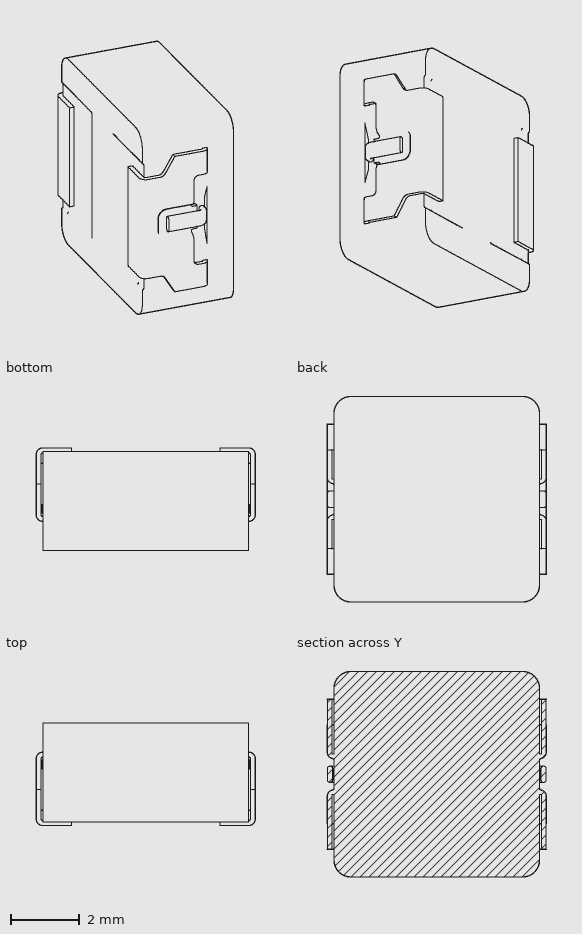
import cadquery as cq
import math


overall_x = 6.4
body_width = 6.0
body_depth = 2.9
body_corner_radius = 0.5
body_half = body_width / 2

strip_thickness = 0.15
inner_bend_radius = 0.05
outer_bend_radius = inner_bend_radius + strip_thickness
foot_protrusion = 0.1
foot_length = 1.04
foot_half_width = 1.6
outer_face = overall_x / 2
inner_face = outer_face - strip_thickness
hook_depth = 0.51

plate_top = 2.05
plate_half_width = 2.19
shoulder_y = 0.95
slant_end_y = 0.59
slant_radius = 0.2
notch_y = 1.555
notch_half_width = 1.44
notch_radius = 0.15
tongue_top = 1.74
tongue_half_width = 0.365
tongue_radius = 0.05

dimple_floor = body_half
dimple_half_width = 0.45
dimple_bottom = 0.49
dimple_corner_radius = 0.24
dimple_draft = 12.0

wire_width = 0.485
wire_thickness = 0.165
wire_end_y = 0.755

window_half_width = 0.895
window_floor_half_width = 0.48
window_depth = 0.19
window_edge_radius = 0.115

pocket_inner_x = 0.75
pocket_end_taper = 0.255
pocket_side_taper = 0.08
pocket_half_width = 2.04
pocket_depth = 0.15
pocket_edge_depth = strip_thickness - foot_protrusion
pocket_level_length = 0.4
pocket_rim_radius = 0.03
pocket_floor_radius = 0.05

margin = 0.32


def box_between(low, high):
    """Box spanning two opposite corner points."""
    size = [b - a for a, b in zip(low, high)]
    return cq.Workplane("XY").box(*size, centered=False).translate(low)


def prism_along_x(profile, x_start, x_end):
    """Extrude a (Y, Z) profile from x_start to x_end."""
    return cq.Workplane("YZ").workplane(offset=x_start).polyline(profile).close().extrude(x_end - x_start)


def prism_along_z(profile, half_width):
    """Extrude an (X, Y) profile symmetrically about Z = 0."""
    return cq.Workplane("XY").polyline(profile).close().extrude(half_width, both=True)


def trough(profile):
    """Recess of the given (X, Y) profile with sloped long walls and rounded floor edges."""
    floor_half_width = pocket_half_width - pocket_side_taper
    walls = [
        (0, -pocket_half_width),
        (0, pocket_half_width),
        (pocket_depth, floor_half_width),
        (pocket_depth, -floor_half_width),
    ]
    recess = prism_along_z(profile, pocket_half_width).intersect(prism_along_x(walls, 0, overall_x))
    return recess.edges("not(<X or >X or <Y)").fillet(pocket_floor_radius)


def pocket():
    """Recess for the foot: level at the body side, then ramping deeper to a sloped end wall."""
    ramp_start_x = body_half - pocket_level_length
    outer_x = body_half + margin
    floor_end_x = pocket_inner_x + pocket_end_taper
    level = trough(
        [(ramp_start_x, 0), (outer_x, 0), (outer_x, pocket_edge_depth), (ramp_start_x, pocket_edge_depth)]
    )
    ramp = trough(
        [(pocket_inner_x, 0), (ramp_start_x, 0), (ramp_start_x, pocket_edge_depth), (floor_end_x, pocket_depth)]
    )
    return ramp.union(level)


def window():
    """Trapezoidal recess in the body side, with rounded floor edges."""
    floor_x = body_half - window_depth
    profile = [
        (floor_x, -window_floor_half_width),
        (body_half, -window_half_width),
        (body_half, window_half_width),
        (floor_x, window_floor_half_width),
    ]
    recess = (
        cq.Workplane("XZ", origin=(0, notch_y, 0)).polyline(profile).close().extrude(notch_y - plate_top)
    )
    return recess.faces("<X").edges("|Y").fillet(window_edge_radius)


def body():
    """Rounded block with both pockets and both wire windows."""
    block = (
        cq.Workplane("XZ")
        .rect(body_width, body_width)
        .extrude(-body_depth)
        .edges("|Y")
        .fillet(body_corner_radius)
    )
    window_middle_y = (notch_y + plate_top) / 2
    for cutter in (pocket(), window()):
        block = block.cut(cutter).cut(cutter.mirror("YZ"))
    rim_reach = pocket_half_width + margin
    for side in (-1, 1):
        for z in (-window_half_width, window_half_width):
            window_rim = cq.selectors.NearestToPointSelector((side * body_half, window_middle_y, z))
            block = block.edges("|Y").edges(window_rim).fillet(window_edge_radius)
        pocket_rim = cq.selectors.BoxSelector(
            (side * pocket_inner_x / 2, -pocket_edge_depth / 4, -rim_reach),
            (side * (body_half - margin), pocket_edge_depth / 4, rim_reach),
        )
        block = block.edges(pocket_rim).fillet(pocket_rim_radius)
    return block


def bent_strip():
    """Foot, upright plate and hook into the body, as one bent strip of full width."""
    foot_end = outer_face - foot_length
    hook_end = outer_face - hook_depth
    profile = [
        (foot_end, -foot_protrusion),
        (outer_face, -foot_protrusion),
        (outer_face, plate_top),
        (hook_end, plate_top),
        (hook_end, plate_top - strip_thickness),
        (inner_face, plate_top - strip_thickness),
        (inner_face, pocket_edge_depth),
        (foot_end, pocket_edge_depth),
    ]
    strip = prism_along_z(profile, plate_half_width)
    strip = strip.edges("|Z and >X").fillet(outer_bend_radius)
    for y in (pocket_edge_depth, plate_top - strip_thickness):
        inner_corner = cq.selectors.NearestToPointSelector((inner_face, y, 0))
        strip = strip.edges("|Z").edges(inner_corner).fillet(inner_bend_radius)
    return strip


def plate_outline():
    """Prism of the terminal outline: narrow foot, wide shoulders, notched top with a tongue."""
    half = [
        (-foot_protrusion, foot_half_width),
        (slant_end_y, foot_half_width),
        (shoulder_y, plate_half_width),
        (plate_top, plate_half_width),
        (plate_top, notch_half_width),
        (notch_y, notch_half_width),
        (notch_y, tongue_half_width),
        (tongue_top, tongue_half_width),
    ]
    mirrored = [(y, -z) for y, z in reversed(half)]
    outline = prism_along_x(half + mirrored, 0, outer_face + margin)
    rounded_corners = (
        (slant_end_y, foot_half_width, slant_radius),
        (notch_y, notch_half_width, notch_radius),
        (notch_y, tongue_half_width, tongue_radius),
    )
    for y, z, radius in rounded_corners:
        for side in (-1, 1):
            corner = cq.selectors.NearestToPointSelector((outer_face / 2, y, side * z))
            outline = outline.edges("|X").edges(corner).fillet(radius)
    return outline


def u_block(x_start, x_end, offset, draft):
    """Block with the U outline of the dimple grown by offset, widening towards +X by the draft."""
    half_width = dimple_half_width + offset
    bottom = dimple_bottom - offset
    corner_radius = dimple_corner_radius + offset
    outline = (
        cq.Sketch()
        .push([((bottom + plate_top) / 2, 0)])
        .rect(plate_top - bottom, 2 * half_width)
        .reset()
        .vertices("<X")
        .fillet(corner_radius)
    )
    base = cq.Workplane("YZ", origin=(x_start, 0, 0)).placeSketch(outline)
    return base.extrude(x_end - x_start, taper=-draft)


def dimple_hollow():
    """Space removed by the dimple, flaring out to the plate face with the bend radius."""
    low = (dimple_floor - margin, -foot_protrusion, -plate_half_width)
    high = (outer_face, plate_top, plate_half_width)
    slab = box_between(low, high)
    hollow = u_block(dimple_floor, outer_face, 0, dimple_draft)
    hollow = hollow.faces("<X").edges("not(>Y)").fillet(inner_bend_radius)
    rim_point = cq.selectors.NearestToPointSelector((outer_face, dimple_bottom, 0))
    formed = slab.cut(hollow).faces(">X").edges(rim_point).fillet(outer_bend_radius)
    return slab.cut(formed)


def wire():
    """Flat wire with round edges, flush with the plate and bending into the body at its upper end."""
    centre_x = outer_face - wire_thickness / 2
    bend_radius = plate_top - tongue_top - wire_thickness / 2
    bend_middle = bend_radius * math.sqrt(0.5)
    arc_centre_x = centre_x - bend_radius
    path = (
        cq.Workplane("XY")
        .moveTo(centre_x, wire_end_y)
        .lineTo(centre_x, tongue_top)
        .threePointArc(
            (arc_centre_x + bend_middle, tongue_top + bend_middle),
            (arc_centre_x, tongue_top + bend_radius),
        )
        .lineTo(outer_face - hook_depth, tongue_top + bend_radius)
    )
    section = cq.Workplane("XZ", origin=(centre_x, wire_end_y, 0)).slot2D(wire_width, wire_thickness, 90)
    return section.sweep(path)


def terminal():
    """Complete terminal on the +X side, including the wire end."""
    back_x = dimple_floor - strip_thickness
    dimple_back = u_block(back_x, inner_face + strip_thickness / 2, strip_thickness, 0)
    sheet = bent_strip().union(dimple_back).intersect(plate_outline())
    return sheet.cut(dimple_hollow()).union(wire())


right_terminal = terminal()
result = body().union(right_terminal).union(right_terminal.mirror("YZ"))